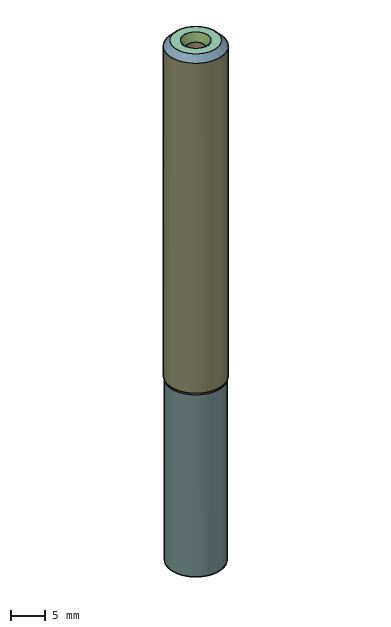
import cadquery as cq
import math

length = 90.0
head_diameter = 9.53
head_radius = head_diameter / 2
top_chamfer = 1.0

shank_relief = 0.15
shank_radius = head_radius - shank_relief
shank_length = 32.0
step_taper = 0.4
bottom_chamfer = 0.2

bore_radius = 3.0 / 2
countersink_radius = 4.5 / 2
countersink_angle = 60.0
countersink_depth = (countersink_radius - bore_radius) / math.tan(math.radians(countersink_angle / 2))


def turn(half_profile):
    """Revolve a list of (radius, height) points, closed along the axis, about Z."""
    return cq.Workplane("XZ").polyline(half_profile).close().revolve(360, (0, 0, 0), (0, 1, 0))


def make_body():
    """Stepped cylinder with chamfered ends."""
    return turn([
        (0, 0),
        (shank_radius - bottom_chamfer, 0),
        (shank_radius, bottom_chamfer),
        (shank_radius, shank_length - step_taper),
        (head_radius, shank_length),
        (head_radius, length - top_chamfer),
        (head_radius - top_chamfer, length),
        (0, length),
    ])


def make_bore():
    """Through bore that widens conically at the top face."""
    return turn([
        (0, 0),
        (bore_radius, 0),
        (bore_radius, length - countersink_depth),
        (countersink_radius, length),
        (0, length),
    ])


result = make_body().cut(make_bore())